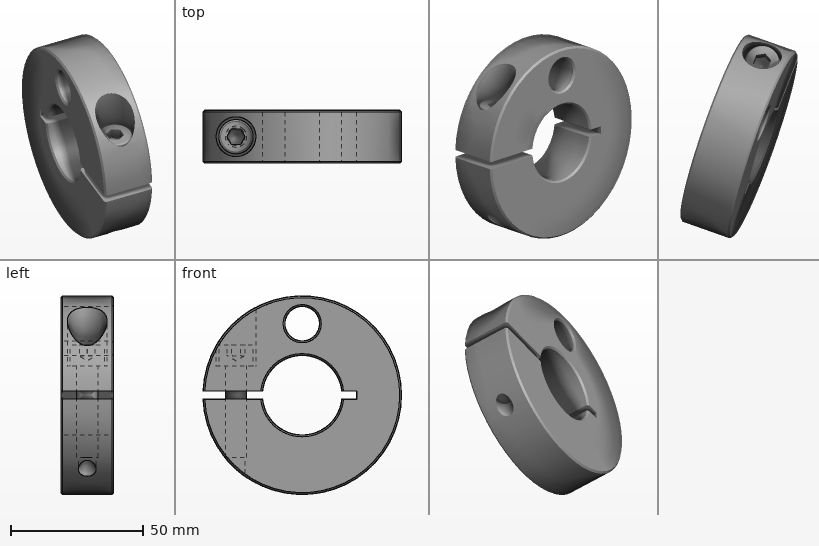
import cadquery as cq
import math

OUTER_DIA = 75.0
BORE_DIA = 30.0
WIDTH = 20.0
EDGE_CHAMFER = 0.7

SIDE_HOLE_DIA = 13.0
SIDE_HOLE_Z = 27.0

SLIT_GAP = 3.0
NOTCH_END_X = 20.5

SCREW_X = -25.0
SCREW_DIA = 8.0
HEAD_DIA = 13.0
HEAD_HEIGHT = SCREW_DIA
HEAD_FILLET = 0.7
SHANK_LENGTH = 34.5
SOCKET_FLATS = 6.0
SOCKET_DEPTH = 4.0
SOCKET_CONE_ANGLE = 120.0

SEAT_Z = 11.0
COUNTERBORE_DIA = 15.0
CORE_HOLE_DIA = 6.65

HEAD_TOP_Z = SEAT_Z + HEAD_HEIGHT
SHANK_END_Z = SEAT_Z - SHANK_LENGTH
OUTER_RADIUS = OUTER_DIA / 2


def screw_cylinder(diameter, z_low, z_high):
    """Cylinder on the screw axis between two heights."""
    return (
        cq.Workplane("XY", origin=(SCREW_X, 0, z_low))
        .circle(diameter / 2)
        .extrude(z_high - z_low)
    )


def make_ring():
    """Plain ring with its side hole, all round edges chamfered."""
    return (
        cq.Workplane("XZ", origin=(0, WIDTH / 2, 0))
        .circle(OUTER_RADIUS)
        .circle(BORE_DIA / 2)
        .extrude(WIDTH)
        .cut(
            cq.Workplane("XZ", origin=(0, WIDTH / 2, 0))
            .center(0, SIDE_HOLE_Z)
            .circle(SIDE_HOLE_DIA / 2)
            .extrude(WIDTH)
        )
        .faces("<Y or >Y")
        .edges()
        .chamfer(EDGE_CHAMFER)
    )


def make_slit():
    """Slot from the rim at -X to the end of the notch at +X."""
    length = OUTER_RADIUS + NOTCH_END_X
    middle_x = NOTCH_END_X - length / 2
    return cq.Workplane("XY").box(length, WIDTH, SLIT_GAP).translate((middle_x, 0, 0))


def make_collar():
    """Slit ring with the stepped screw hole running through it."""
    counterbore = screw_cylinder(COUNTERBORE_DIA, SEAT_Z, OUTER_RADIUS)
    shank_hole = screw_cylinder(SCREW_DIA, SHANK_END_Z, SEAT_Z)
    core_hole = screw_cylinder(CORE_HOLE_DIA, -OUTER_RADIUS, SHANK_END_Z)
    return make_ring().cut(make_slit()).cut(counterbore).cut(shank_hole).cut(core_hole)


def make_socket():
    """Hexagonal socket whose floor is a cone with its tip pointing down."""
    corner_radius = SOCKET_FLATS / 2 / math.cos(math.pi / 6)
    cone_depth = corner_radius / math.tan(math.radians(SOCKET_CONE_ANGLE / 2))
    total_depth = SOCKET_DEPTH + cone_depth
    hexagon = (
        cq.Workplane("XY", origin=(SCREW_X, 0, HEAD_TOP_Z))
        .polygon(6, 2 * corner_radius)
        .extrude(-total_depth)
    )
    pointed_plug = (
        cq.Workplane("XZ", origin=(SCREW_X, 0, HEAD_TOP_Z))
        .polyline([(0, 0), (corner_radius, 0), (corner_radius, -SOCKET_DEPTH), (0, -total_depth)])
        .close()
        .revolve(360, (0, 0, 0), (0, 1, 0))
    )
    return hexagon.intersect(pointed_plug)


def make_screw():
    """Socket head screw with a rounded head rim and a plain shank."""
    head = screw_cylinder(HEAD_DIA, SEAT_Z, HEAD_TOP_Z).faces(">Z").edges().fillet(HEAD_FILLET)
    shank = screw_cylinder(SCREW_DIA, SHANK_END_Z, SEAT_Z)
    return head.union(shank).cut(make_socket())


collar = make_collar()
screw = make_screw()

result = cq.Compound.makeCompound([collar.val(), screw.val()])